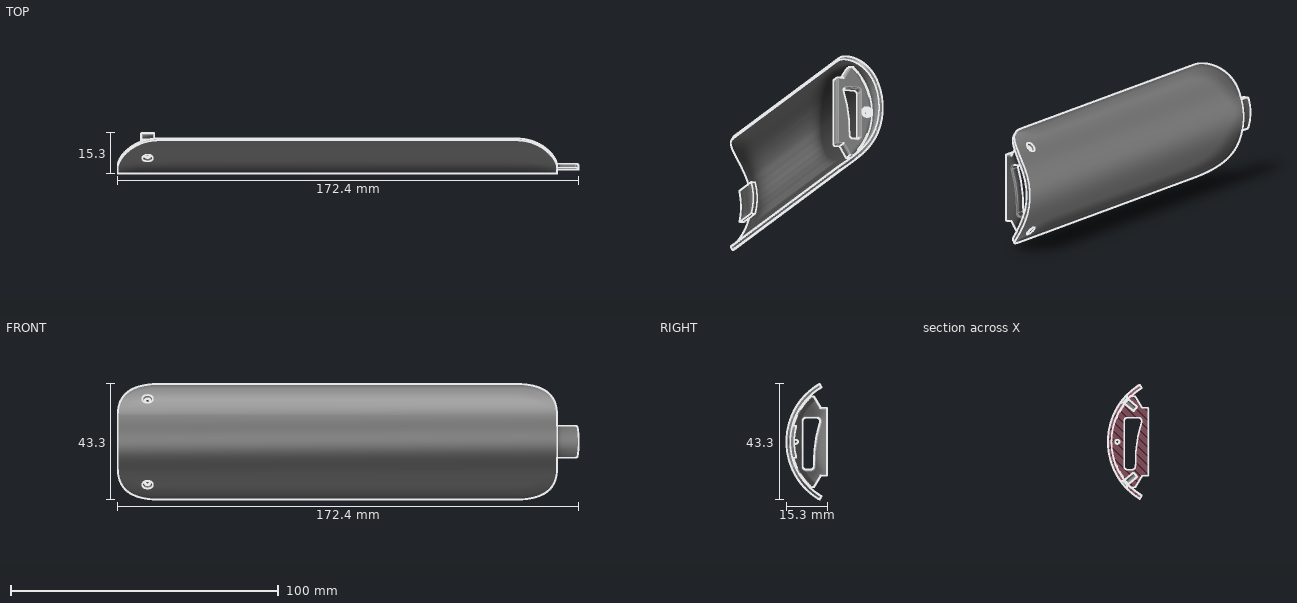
import cadquery as cq
import math


SHELL_LENGTH = 164.3
SHELL_RADIUS = 25.0
SHEET = 1.5
SHELL_HALF_ANGLE = 60.0
SHELL_CORNER_RADIUS = 15.0
INNER_RADIUS = SHELL_RADIUS - SHEET

SCREW_ANGLE = 40.0
SCREW_HEAD_DIAMETER = 4.0
SCREW_DIAMETER = 2.0
SCREW_DEPTH = 5.9

BRACKET_CENTER_X = 11.2
BRACKET_THICKNESS = 5.0
TOTAL_DEPTH = 15.3
BRACKET_BACK_Y = TOTAL_DEPTH - SHELL_RADIUS
FOOT_HALF_WIDTH = 12.8
FOOT_DEPTH = 2.4
SHOULDER_DEPTH = 5.0
SHOULDER_HALF_WIDTH = 17.0
FOOT_CORNER_RADIUS = 0.5
BRACKET_EDGE_RADIUS = 0.43
BRACKET_START_X = BRACKET_CENTER_X - BRACKET_THICKNESS / 2

WINDOW_FRONT_Y = -18.8
WINDOW_TOP_DEPTH = 6.9
WINDOW_MIDDLE_DEPTH = 4.7
WINDOW_BOTTOM_DEPTH = 4.1
WINDOW_TOP_Z = 9.0
WINDOW_BOTTOM_Z = -10.3
WINDOW_CORNER_RADIUS = 1.2

CABLE_HOLE_DIAMETER = 1.5
CABLE_RECESS_DIAMETER = 2.8
CABLE_MOUTH_DIAMETER = 3.8
CABLE_HOLE_INSET = 3.6
CABLE_HOLE_Y = CABLE_HOLE_INSET - SHELL_RADIUS

TONGUE_WIDTH = 12.0
TONGUE_OVERLAP = 8.0
TONGUE_BULGE = 0.5
TONGUE_CORNER_RADIUS = 1.0
TONGUE_TIP_X = 172.4


def on_arc(radius, angle):
    """Point (y, z) on a circle about the X axis; the angle starts at -Y and turns toward +Z."""
    turn = math.radians(angle)
    return (-radius * math.cos(turn), radius * math.sin(turn))


def rod(radius, start_x, end_x):
    """Cylinder along the X axis."""
    return cq.Workplane("YZ", origin=(start_x, 0, 0)).circle(radius).extrude(end_x - start_x)


def screw_cutter(angle):
    """Screw hole aimed at the X axis: a countersink in the shell and a straight bore into the bracket."""
    y, z = on_arc(1.0, angle)
    outward = cq.Vector(0, y, z)
    mouth = cq.Vector(BRACKET_CENTER_X, 0, 0) + outward * SHELL_RADIUS
    sink_depth = (SCREW_HEAD_DIAMETER - SCREW_DIAMETER) / 2
    sink = cq.Solid.makeCone(SCREW_HEAD_DIAMETER / 2, SCREW_DIAMETER / 2, sink_depth, mouth, outward * -1)
    bore = cq.Solid.makeCylinder(SCREW_DIAMETER / 2, SCREW_DEPTH, mouth, outward * -1)
    return cq.Workplane(sink.fuse(bore))


def make_edge_slab():
    """Slab ending at the radial plane of the shell's upper edge, with both corners there rounded."""
    y, z = on_arc(1.0, SHELL_HALF_ANGLE)
    plane = cq.Plane(origin=(0, 0, 0), xDir=(1, 0, 0), normal=(0, y, z))
    return (
        cq.Workplane(plane)
        .moveTo(0, -SHELL_RADIUS)
        .lineTo(0, -SHELL_CORNER_RADIUS)
        .radiusArc((SHELL_CORNER_RADIUS, 0), SHELL_CORNER_RADIUS)
        .lineTo(SHELL_LENGTH - SHELL_CORNER_RADIUS, 0)
        .radiusArc((SHELL_LENGTH, -SHELL_CORNER_RADIUS), SHELL_CORNER_RADIUS)
        .lineTo(SHELL_LENGTH, -SHELL_RADIUS)
        .close()
        .extrude(SHELL_RADIUS, both=True)
    )


def make_shell():
    tube = rod(SHELL_RADIUS, 0, SHELL_LENGTH).cut(rod(INNER_RADIUS, 0, SHELL_LENGTH))
    slab = make_edge_slab()
    return tube.intersect(slab).intersect(slab.mirror("XY"))


def make_window():
    return (
        cq.Workplane("YZ", origin=(BRACKET_START_X, 0, 0))
        .moveTo(WINDOW_FRONT_Y, WINDOW_BOTTOM_Z)
        .lineTo(WINDOW_FRONT_Y, WINDOW_TOP_Z)
        .lineTo(WINDOW_FRONT_Y + WINDOW_TOP_DEPTH, WINDOW_TOP_Z)
        .threePointArc(
            (WINDOW_FRONT_Y + WINDOW_MIDDLE_DEPTH, 0),
            (WINDOW_FRONT_Y + WINDOW_BOTTOM_DEPTH, WINDOW_BOTTOM_Z),
        )
        .close()
        .extrude(BRACKET_THICKNESS)
        .edges("|X")
        .fillet(WINDOW_CORNER_RADIUS)
    )


def make_cable_hole():
    """Through bore, wider recess and conical mouth, in order from the deep end."""
    bore = rod(CABLE_HOLE_DIAMETER / 2, BRACKET_START_X, BRACKET_START_X + BRACKET_THICKNESS)
    recess = rod(CABLE_RECESS_DIAMETER / 2, BRACKET_START_X, BRACKET_CENTER_X)
    mouth = cq.Solid.makeCone(
        CABLE_MOUTH_DIAMETER / 2,
        CABLE_RECESS_DIAMETER / 2,
        (CABLE_MOUTH_DIAMETER - CABLE_RECESS_DIAMETER) / 2,
        cq.Vector(BRACKET_START_X, 0, 0),
        cq.Vector(1, 0, 0),
    )
    return bore.union(recess).union(cq.Workplane(mouth)).translate((0, CABLE_HOLE_Y, 0))


def make_bracket():
    foot_y = BRACKET_BACK_Y - FOOT_DEPTH
    shoulder_y = BRACKET_BACK_Y - SHOULDER_DEPTH
    half_outline = [
        (BRACKET_BACK_Y, FOOT_HALF_WIDTH),
        (foot_y, FOOT_HALF_WIDTH),
        (shoulder_y, SHOULDER_HALF_WIDTH),
        (-SHELL_RADIUS, SHOULDER_HALF_WIDTH),
    ]
    mirrored = [(y, -z) for y, z in reversed(half_outline)]
    block = (
        cq.Workplane("YZ", origin=(BRACKET_START_X, 0, 0))
        .polyline(half_outline + mirrored)
        .close()
        .extrude(BRACKET_THICKNESS)
        .edges("|X")
        .edges(">Y")
        .fillet(FOOT_CORNER_RADIUS)
    )
    seated = block.intersect(rod(INNER_RADIUS, 0, SHELL_LENGTH))
    frame = seated.cut(make_window())
    rounded = frame.faces("<X or >X").edges().fillet(BRACKET_EDGE_RADIUS)
    return rounded.cut(make_cable_hole())


def make_tongue():
    """Curved strip lying against the inside of the shell and reaching out past its right end."""
    start_x = SHELL_LENGTH - TONGUE_OVERLAP
    half_width = TONGUE_WIDTH / 2
    blank = (
        cq.Workplane("XZ")
        .moveTo(start_x, -half_width)
        .lineTo(TONGUE_TIP_X - TONGUE_BULGE, -half_width)
        .threePointArc((TONGUE_TIP_X, 0), (TONGUE_TIP_X - TONGUE_BULGE, half_width))
        .lineTo(start_x, half_width)
        .close()
        .extrude(SHELL_RADIUS)
        .edges("|Y")
        .edges(">X")
        .fillet(TONGUE_CORNER_RADIUS)
    )
    tube = rod(INNER_RADIUS, start_x, TONGUE_TIP_X).cut(
        rod(INNER_RADIUS - SHEET, start_x, TONGUE_TIP_X)
    )
    return blank.intersect(tube)


shell = make_shell()
bracket = make_bracket()
tongue = make_tongue()
for screw_angle in (-SCREW_ANGLE, SCREW_ANGLE):
    cutter = screw_cutter(screw_angle)
    shell = shell.cut(cutter)
    bracket = bracket.cut(cutter)

result = cq.Compound.makeCompound([shell.solids().val(), bracket.solids().val(), tongue.solids().val()])